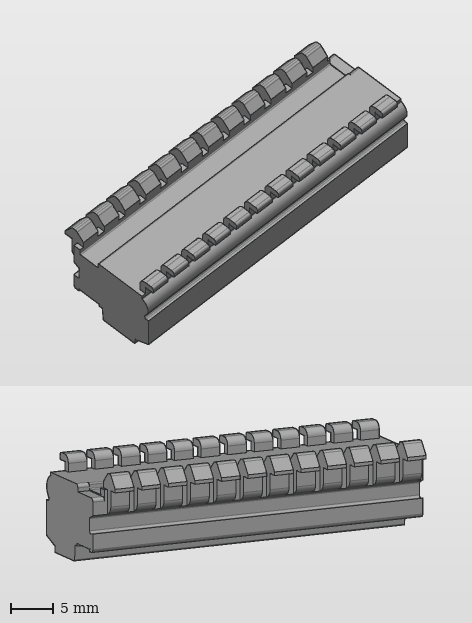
import cadquery as cq
import math

length = 43.5
width = 14.7
height = 11.5

deck_z = 9.5
groove_floor_z = 8.7
shoulder_z = 6.05
ledge_z = 1.95

left_face_x = 2.1
left_recess_x = 2.95
groove_left_x = 3.1
groove_right_x = 6.1
deck_right_x = 13.4
right_face_x = 14.5
foot_left_x = 6.95
foot_right_x = 12.22

relief_left_x = 2.9
relief_right_x = 6.25
relief_z = 2.25

right_face_bottom_z = 1.65
right_face_top_z = 5.9
foot_top_z = 0.8

slope_drop = 0.45
slope_width = left_recess_x - left_face_x
slope_top_z = shoulder_z + slope_drop

catch_count = 12
catch_pitch = 3.5
catch_length = 2.5
first_catch_y = length / 2 - 1.9
stem_left_x = 1.17
stem_bottom_radius = 0.95
head_left_edge_z = 9.9
head_right_edge_z = 10.3
catch_root = 0.45

hook_left_x = 12.5
hook_arm_z = 10.55
hook_corner_radius = 0.95

step_length = 1.52
step_floor_z = 8.55
step_wall_x = 6.1
step_radius = 0.45


def rounded_outline(corners):
    """Close an XZ outline through (x, z, radius) corners, rounding each one by its radius."""
    segments = []
    count = len(corners)
    for index, (x, z, radius) in enumerate(corners):
        before = corners[index - 1]
        after = corners[(index + 1) % count]
        corner = cq.Vector(x, z)
        to_before = (cq.Vector(before[0], before[1]) - corner).normalized()
        to_after = (cq.Vector(after[0], after[1]) - corner).normalized()
        half_angle = to_before.getAngle(to_after) / 2
        setback = radius / math.tan(half_angle)
        bisector = (to_before + to_after).normalized()
        middle = corner + bisector * (radius / math.sin(half_angle) - radius)
        segments.append((corner + to_before * setback, middle, corner + to_after * setback, radius))

    first_start, first_middle, first_end, first_radius = segments[0]
    outline = cq.Workplane("XZ").moveTo(first_end.x, first_end.y)
    for start, middle, end, radius in segments[1:]:
        outline = outline.lineTo(start.x, start.y)
        if radius > 0:
            outline = outline.threePointArc((middle.x, middle.y), (end.x, end.y))
    if first_radius > 0:
        outline = outline.lineTo(first_start.x, first_start.y)
        outline = outline.threePointArc((first_middle.x, first_middle.y), (first_end.x, first_end.y))
    return outline.close()


def extrude_between(corners, y_start, y_end):
    """Extrude a rounded XZ outline from y_start to y_end."""
    solid = rounded_outline(corners).extrude(y_start - y_end)
    return solid.translate((0, y_start, 0))


def make_body():
    corners = [
        (left_face_x, deck_z, 0),
        (left_face_x, slope_top_z, 0),
        (left_recess_x, shoulder_z, 0.15),
        (left_recess_x, 4.15, 0.3),
        (left_face_x, 4.25, 0),
        (left_face_x, ledge_z, 0.4),
        (relief_left_x, ledge_z, 0),
        (relief_left_x, relief_z, 0),
        (relief_right_x, relief_z, 0),
        (relief_right_x, ledge_z, 0),
        (6.8, ledge_z, 0),
        (foot_left_x, 0, 0.17),
        (foot_right_x, 0, 0.1),
        (foot_right_x, foot_top_z, 0),
        (right_face_x, right_face_bottom_z, 0),
        (right_face_x, right_face_top_z, 0),
        (14.0, right_face_top_z, 0.2),
        (13.8, 6.2, 0.1),
        (15.22, 8.2, 1.55),
        (deck_right_x, 9.05, 0),
        (deck_right_x, deck_z, 0),
        (groove_right_x, deck_z, 0.17),
        (groove_right_x, groove_floor_z, 0.15),
        (groove_left_x, groove_floor_z, 0.15),
        (groove_left_x, deck_z, 0),
    ]
    return extrude_between(corners, -length / 2, length / 2)


def cut_end_step(body):
    """Lower the left part of the top at the +Y end, with rounded edges beside it."""
    y_start = length / 2 - step_length
    rounding_end_x = step_wall_x + step_radius
    block_corners = [
        (0, 0, 0),
        (rounding_end_x, 0, 0),
        (rounding_end_x, deck_z, 0),
        (0, deck_z, 0),
    ]
    kept_corners = [
        (left_face_x, 0, 0),
        (deck_right_x, 0, 0),
        (deck_right_x, deck_z, 0),
        (step_wall_x, deck_z, step_radius),
        (step_wall_x, step_floor_z, 0),
        (left_face_x, step_floor_z, step_radius),
    ]
    block = extrude_between(block_corners, y_start, length / 2)
    kept = extrude_between(kept_corners, y_start, length / 2)
    return body.cut(block.cut(kept))


def make_left_catch(y_start, y_end):
    """Arrow-shaped catch on a stem along the left face."""
    slope = slope_drop / slope_width
    stem_bottom_z = slope_top_z + slope * (left_face_x - stem_left_x)
    root_x = left_face_x + catch_root
    corners = [
        (0, deck_z, 0),
        (0, head_left_edge_z, 0),
        (1.2, height, 0.45),
        (1.9, height, 0.45),
        (groove_left_x, head_right_edge_z, 0),
        (groove_left_x, deck_z, 0),
        (root_x, deck_z, 0),
        (root_x, slope_top_z - slope * catch_root, 0),
        (stem_left_x, stem_bottom_z, stem_bottom_radius),
        (stem_left_x, deck_z, 0),
    ]
    return extrude_between(corners, y_start, y_end)


def make_right_catch(y_start, y_end):
    """Hook that rises from the right edge of the deck and points outward."""
    corners = [
        (hook_left_x, deck_z - catch_root, 0),
        (hook_left_x, height, hook_corner_radius),
        (width, height, 0.4),
        (width, hook_arm_z, 0.17),
        (deck_right_x, hook_arm_z, 0),
        (deck_right_x, deck_z - catch_root, 0),
    ]
    return extrude_between(corners, y_start, y_end)


result = cut_end_step(make_body())
for catch_index in range(catch_count):
    catch_end_y = first_catch_y - catch_index * catch_pitch
    catch_start_y = catch_end_y - catch_length
    result = result.union(make_left_catch(catch_start_y, catch_end_y))
    result = result.union(make_right_catch(catch_start_y, catch_end_y))